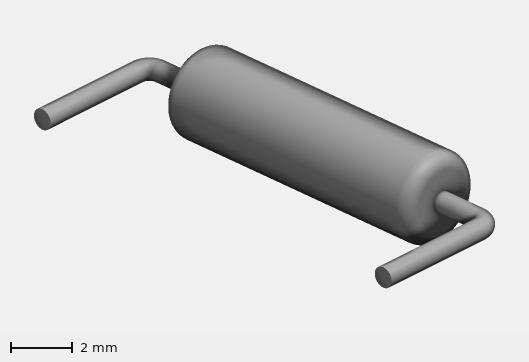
import cadquery as cq

overall_length = 16.13
body_length = 11.03
body_diameter = 3.3
body_edge_radius = 0.5
lead_diameter = 0.76
bend_radius = 0.5
lead_drop = 5.0

lead_x = (overall_length - lead_diameter) / 2
bend_start_x = lead_x - bend_radius


def make_body():
    """Cylinder along X with rounded end rims."""
    return (
        cq.Workplane("YZ", origin=(-body_length / 2, 0, 0))
        .circle(body_diameter / 2)
        .extrude(body_length)
        .edges("%CIRCLE")
        .fillet(body_edge_radius)
    )


def make_lead():
    """Round wire from the body centre along +X, bent towards -Y."""
    path = (
        cq.Workplane("XY")
        .lineTo(bend_start_x, 0)
        .tangentArcPoint((lead_x, -bend_radius), relative=False)
        .lineTo(lead_x, -lead_drop)
    )
    return cq.Workplane("YZ").circle(lead_diameter / 2).sweep(path)


right_lead = make_lead()
left_lead = right_lead.mirror("YZ")
result = make_body().union(right_lead).union(left_lead)